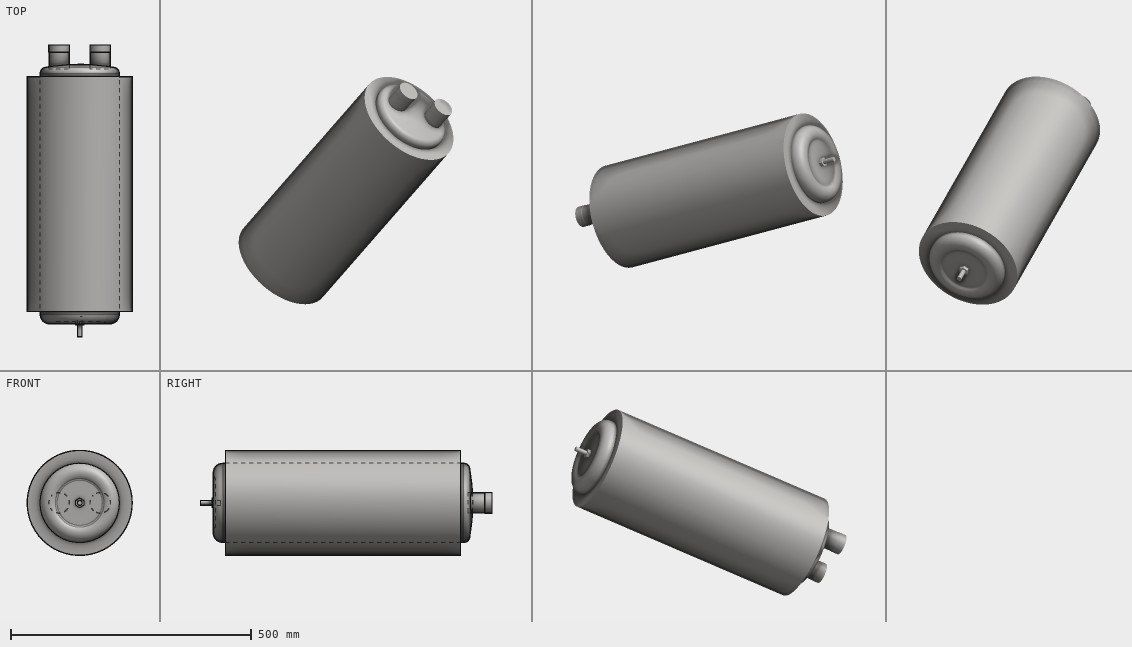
import cadquery as cq
import math


total_length = 607.4

sleeve_diameter = 219.0
sleeve_length = 489.0

tank_radius = 82.5
front_skirt = 5.5
front_rim_radius = 20.0
recess_fillet = 6.0
recess_floor_radius = 47.0
rear_skirt = 6.5
rear_knuckle = 13.0
rear_dome_height = 25.8

nozzle_offset = 42.8
nozzle_pipe_diameter = 42.2
nozzle_collar_diameter = 43.4
nozzle_collar_length = 14.8
nozzle_taper_length = 1.5
nozzle_height = 66.0
nozzle_seat_depth = 10.0

stud_diameter = 10.0
stud_set_in = 10.0
nut_across_flats = 17.0
nut_projection = 2.0

sleeve_rear_y = sleeve_length
front_crest_y = -front_skirt - front_rim_radius
dome_top_y = sleeve_rear_y + rear_dome_height
nozzle_end_y = sleeve_rear_y + nozzle_height
nozzle_seat_y = dome_top_y - nozzle_seat_depth
nozzle_collar_y = nozzle_end_y - nozzle_collar_length
stud_tip_y = nozzle_end_y - total_length
nut_front_y = front_crest_y - nut_projection

rim_center = (tank_radius - front_rim_radius, -front_skirt)
rim_to_fillet = front_rim_radius + recess_fillet
rim_turn = math.asin((rim_center[0] - recess_floor_radius) / rim_to_fillet)
fillet_center = (recess_floor_radius, rim_center[1] - rim_to_fillet * math.cos(rim_turn))
floor_y = fillet_center[1] + recess_fillet

knuckle_center = (tank_radius - rear_knuckle, sleeve_rear_y + rear_skirt)
knuckle_drop = dome_top_y - knuckle_center[1]
crown_radius = (knuckle_center[0] ** 2 + knuckle_drop**2 - rear_knuckle**2) / (
    2 * (knuckle_drop - rear_knuckle)
)
crown_center = (0, dome_top_y - crown_radius)
crown_angle = math.asin(knuckle_center[0] / (crown_radius - rear_knuckle))


def arc_point(center, radius, angle):
    """Point on a circle in section; the angle runs from +Y towards the outer wall."""
    return (
        center[0] + radius * math.sin(angle),
        center[1] + radius * math.cos(angle),
    )


def cylinder(diameter, start_y, end_y):
    """Solid cylinder on the Y axis between two stations."""
    return (
        cq.Workplane("XZ", origin=(0, end_y, 0))
        .circle(diameter / 2)
        .extrude(end_y - start_y)
    )


def make_sleeve():
    bore = cylinder(2 * tank_radius, 0, sleeve_rear_y)
    return cylinder(sleeve_diameter, 0, sleeve_rear_y).cut(bore)


def make_tank_blank():
    """Tank turned about Y, before its seats for the nozzles and stud are cut."""
    wall_angle = math.pi / 2
    rim_end_angle = math.pi + rim_turn
    return (
        cq.Workplane("XY")
        .moveTo(0, floor_y)
        .lineTo(recess_floor_radius, floor_y)
        .threePointArc(
            arc_point(fillet_center, recess_fillet, rim_turn / 2),
            arc_point(rim_center, front_rim_radius, rim_end_angle),
        )
        .threePointArc(
            arc_point(rim_center, front_rim_radius, (rim_end_angle + wall_angle) / 2),
            (tank_radius, -front_skirt),
        )
        .lineTo(tank_radius, knuckle_center[1])
        .threePointArc(
            arc_point(knuckle_center, rear_knuckle, (crown_angle + wall_angle) / 2),
            arc_point(knuckle_center, rear_knuckle, crown_angle),
        )
        .threePointArc(
            arc_point(crown_center, crown_radius, crown_angle / 2),
            (0, dome_top_y),
        )
        .close()
        .revolve(360, (0, 0, 0), (0, 1, 0))
    )


def make_nozzle(x):
    """Pipe stub that widens over a short taper into a slightly larger collar at its end."""
    pipe_radius = nozzle_pipe_diameter / 2
    collar_radius = nozzle_collar_diameter / 2
    return (
        cq.Workplane("XY", origin=(x, 0, 0))
        .moveTo(0, nozzle_seat_y)
        .lineTo(pipe_radius, nozzle_seat_y)
        .lineTo(pipe_radius, nozzle_collar_y - nozzle_taper_length)
        .lineTo(collar_radius, nozzle_collar_y)
        .lineTo(collar_radius, nozzle_end_y)
        .lineTo(0, nozzle_end_y)
        .close()
        .revolve(360, (0, 0, 0), (0, 1, 0))
    )


def make_stud():
    return cylinder(stud_diameter, stud_tip_y, floor_y + stud_set_in)


def make_nut():
    """Hexagon nut resting on the recess floor, with corners pointing along X."""
    hexagon = (
        cq.Workplane("XZ", origin=(0, floor_y, 0))
        .polygon(6, nut_across_flats, circumscribed=True)
        .extrude(floor_y - nut_front_y)
    )
    return hexagon.cut(cylinder(stud_diameter, nut_front_y, floor_y))


sleeve = make_sleeve()
nozzles = [make_nozzle(x) for x in (-nozzle_offset, nozzle_offset)]
stud = make_stud()
nut = make_nut()

tank = make_tank_blank().cut(stud)
for nozzle in nozzles:
    tank = tank.cut(nozzle)

result = cq.Compound.makeCompound(
    [
        sleeve.val(),
        tank.val(),
        *[nozzle.val() for nozzle in nozzles],
        stud.val(),
        nut.val(),
    ]
)